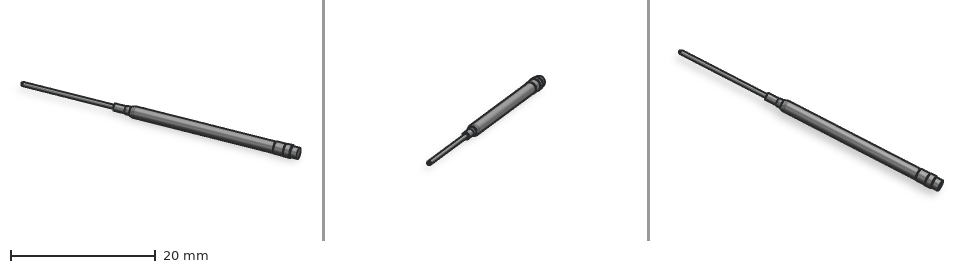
import cadquery as cq

TIP_LENGTH = 0.25
COLLAR_START = 13.85
COLLAR_END = 15.52
SHOULDER_LENGTH = 0.12
NOSE_START = 16.25
NOSE_LIP_LENGTH = 0.1
NOSE_CONE_END = 16.68
BARREL_START = 16.9
RING_START = 37.77
RING_STEP = 39.27
RING_END = 40.25
TOTAL_LENGTH = 41.33
RING_CHAMFER = 0.12

TIP_DIAMETER = 0.35
PLUNGER_DIAMETER = 0.63
COLLAR_DIAMETER = 1.07
SHOULDER_DIAMETER = 1.15
NECK_DIAMETER = 1.22
NOSE_LIP_DIAMETER = 1.38
NOSE_DIAMETER = 1.63
BARREL_DIAMETER = 1.68
FRONT_RING_DIAMETER = 1.78
REAR_RING_DIAMETER = 1.88
TAIL_DIAMETER = 1.63

contour = [
    (0, TIP_DIAMETER),
    (TIP_LENGTH, PLUNGER_DIAMETER),
    (COLLAR_START, PLUNGER_DIAMETER),
    (COLLAR_START, COLLAR_DIAMETER),
    (COLLAR_END, COLLAR_DIAMETER),
    (COLLAR_END + SHOULDER_LENGTH, SHOULDER_DIAMETER),
    (COLLAR_END + 2 * SHOULDER_LENGTH, NECK_DIAMETER),
    (NOSE_START, NECK_DIAMETER),
    (NOSE_START + NOSE_LIP_LENGTH, NOSE_LIP_DIAMETER),
    (NOSE_CONE_END, NOSE_DIAMETER),
    (BARREL_START, BARREL_DIAMETER),
    (RING_START, BARREL_DIAMETER),
    (RING_START + RING_CHAMFER, FRONT_RING_DIAMETER),
    (RING_STEP, FRONT_RING_DIAMETER),
    (RING_STEP + RING_CHAMFER, REAR_RING_DIAMETER),
    (RING_END, REAR_RING_DIAMETER),
    (RING_END + RING_CHAMFER, TAIL_DIAMETER),
    (TOTAL_LENGTH, TAIL_DIAMETER),
]


def turned_solid(stations):
    """Revolve a (station, diameter) contour about the X axis."""
    first_station = stations[0][0]
    last_station = stations[-1][0]
    outline = [(first_station, 0)]
    for station, diameter in stations:
        outline.append((station, diameter / 2))
    outline.append((last_station, 0))
    return cq.Workplane("XY").polyline(outline).close().revolve(360, (0, 0, 0), (1, 0, 0))


result = turned_solid(contour)